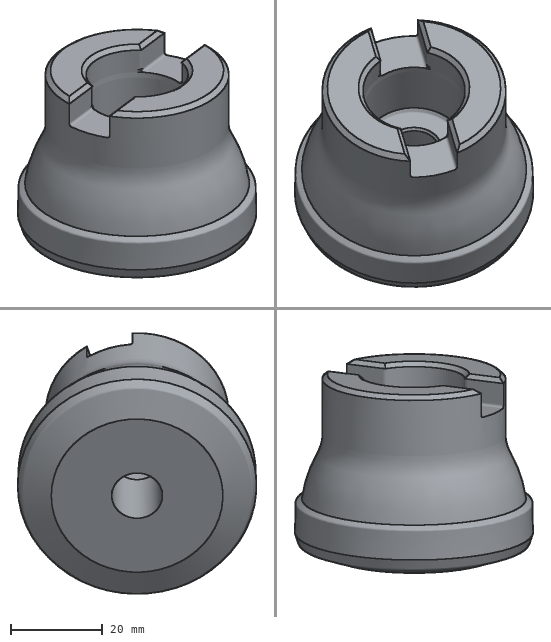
import cadquery as cq
import math

height = 40.0
neck_radius = 19.995
neck_chamfer_width = 1.15
chamfer_height = 1.0

flare_top_z = 26.5
flare_middle_radius = 21.2
flare_middle_z = 21.75
flare_bottom_radius = 24.45

ring_inner_radius = 18.65
ring_top_z = 12.15
ring_top_slope = 30.0
ring_shoulder_radius = 25.85
ring_shoulder_fillet = 0.6
ring_radius = 26.0
ring_widest_z = 4.75
ring_corner_radius = 25.15
ring_corner_z = 2.3
ring_corner_fillet = 0.6

bore_mouth_radius = 11.1
bore_radius = 11.0
bore_taper_height = 1.25
bore_depth = 20.8
bore_floor_radius = 10.1
bore_floor_fillet = 0.45
bolt_hole_radius = 5.5
bolt_hole_chamfer = 0.5

slot_width = 10.4
slot_depth = 6.4
slot_floor_fillet = 0.6
slot_chamfer_width = 0.95
slot_mouth_fillet = 1.05
slot_length = 2 * ring_radius

slot_floor_z = height - slot_depth
chamfer_z = height - chamfer_height


def revolve_profile(profile):
    """Revolve a closed (radius, z) outline once around the Z axis."""
    return profile.close().revolve(360, (0, 0, 0), (0, 1, 0))


def fillet_circle(solid, z, radius):
    """Round the full-circle edge that lies at height z."""
    margin = 0.05
    reach = ring_radius + margin
    at_height = cq.selectors.BoxSelector(
        (-reach, -reach, z - margin), (reach, reach, z + margin), boundingbox=True
    )
    return solid.edges("%CIRCLE").edges(at_height).fillet(radius)


def arc_point(center, radius, angle):
    """Point on a circle; the angle is in radians, counted from the first axis."""
    return (center[0] + radius * math.cos(angle), center[1] + radius * math.sin(angle))


def make_outer_form():
    """Neck and flared skirt, with a plug that fills the cutting ring."""
    profile = (
        cq.Workplane("XZ")
        .moveTo(0, height)
        .lineTo(neck_radius - neck_chamfer_width, height)
        .lineTo(neck_radius, chamfer_z)
        .lineTo(neck_radius, flare_top_z)
        .tangentArcPoint((flare_middle_radius, flare_middle_z), relative=False)
        .tangentArcPoint((flare_bottom_radius, ring_top_z), relative=False)
        .lineTo(ring_inner_radius, ring_top_z)
        .lineTo(ring_inner_radius, 0)
        .lineTo(0, 0)
    )
    return revolve_profile(profile)


def make_bore():
    """Arbor bore with a flared mouth, a bevelled floor and a bolt hole through its middle."""
    floor_z = height - bore_depth
    bevel_angle = math.radians(45)
    bevel_end_radius = bore_floor_radius + bore_floor_fillet * math.sin(bevel_angle)
    bevel_end_z = floor_z + bore_floor_fillet * (1 - math.cos(bevel_angle))
    bevel_top_z = bevel_end_z + (bore_radius - bevel_end_radius) * math.tan(bevel_angle)
    fillet_center = (bore_floor_radius, floor_z + bore_floor_fillet)
    fillet_middle = arc_point(fillet_center, bore_floor_fillet, (bevel_angle - math.pi) / 2)
    profile = (
        cq.Workplane("XZ")
        .moveTo(0, height)
        .lineTo(bore_mouth_radius + chamfer_height, height)
        .lineTo(bore_mouth_radius, chamfer_z)
        .lineTo(bore_mouth_radius, slot_floor_z)
        .lineTo(bore_radius, slot_floor_z - bore_taper_height)
        .lineTo(bore_radius, bevel_top_z)
        .lineTo(bevel_end_radius, bevel_end_z)
        .threePointArc(fillet_middle, (bore_floor_radius, floor_z))
        .lineTo(bolt_hole_radius + bolt_hole_chamfer, floor_z)
        .lineTo(bolt_hole_radius, floor_z - bolt_hole_chamfer)
        .lineTo(bolt_hole_radius, 0)
        .lineTo(0, 0)
    )
    return revolve_profile(profile)


def make_slot():
    """Drive slot with rounded floor corners and chamfered upper edges."""
    half_width = slot_width / 2
    slot = (
        cq.Workplane("XZ")
        .moveTo(-half_width, slot_floor_z)
        .lineTo(half_width, slot_floor_z)
        .lineTo(half_width, chamfer_z)
        .lineTo(half_width + slot_chamfer_width, height)
        .lineTo(-half_width - slot_chamfer_width, height)
        .lineTo(-half_width, chamfer_z)
        .close()
        .extrude(slot_length / 2, both=True)
    )
    return slot.faces("<Z").edges("|Y").fillet(slot_floor_fillet)


def make_slot_mouth_rounding():
    """Sliver that rounds one upright corner between a slot wall and the bore."""
    wall_x = slot_width / 2
    center_x = wall_x + slot_mouth_fillet
    center_distance = bore_mouth_radius + slot_mouth_fillet
    center = (center_x, math.sqrt(center_distance**2 - center_x**2))
    bore_angle = math.atan2(center[1], center[0])
    bore_tangent = arc_point((0, 0), bore_mouth_radius, bore_angle)
    arc_middle = arc_point(center, slot_mouth_fillet, math.pi + bore_angle / 2)
    bottom_z = slot_floor_z + slot_floor_fillet
    return (
        cq.Workplane("XY", origin=(0, 0, bottom_z))
        .moveTo(wall_x, center[1])
        .threePointArc(arc_middle, bore_tangent)
        .lineTo(wall_x, bore_tangent[1])
        .close()
        .extrude(chamfer_z - bottom_z)
    )


def make_body():
    """Cutter body with its bore and drive slot."""
    body = make_outer_form().cut(make_bore()).cut(make_slot())
    right_back = make_slot_mouth_rounding()
    left_back = right_back.mirror("YZ")
    for rounding in (right_back, left_back):
        body = body.cut(rounding).cut(rounding.mirror("XZ"))
    return body


def make_cutting_ring():
    """Ring with a sloping top, a slightly tapered side and a shallow conical underside."""
    shoulder_drop = (ring_shoulder_radius - flare_bottom_radius) * math.tan(math.radians(ring_top_slope))
    shoulder_z = ring_top_z - shoulder_drop
    profile = (
        cq.Workplane("XZ")
        .moveTo(ring_inner_radius, 0)
        .lineTo(ring_corner_radius, ring_corner_z)
        .lineTo(ring_radius, ring_widest_z)
        .lineTo(ring_shoulder_radius, shoulder_z)
        .lineTo(flare_bottom_radius, ring_top_z)
        .lineTo(ring_inner_radius, ring_top_z)
    )
    ring = fillet_circle(revolve_profile(profile), shoulder_z, ring_shoulder_fillet)
    return fillet_circle(ring, ring_corner_z, ring_corner_fillet)


body = make_body()
cutting_ring = make_cutting_ring()
result = cq.Compound.makeCompound([body.val(), cutting_ring.val()])